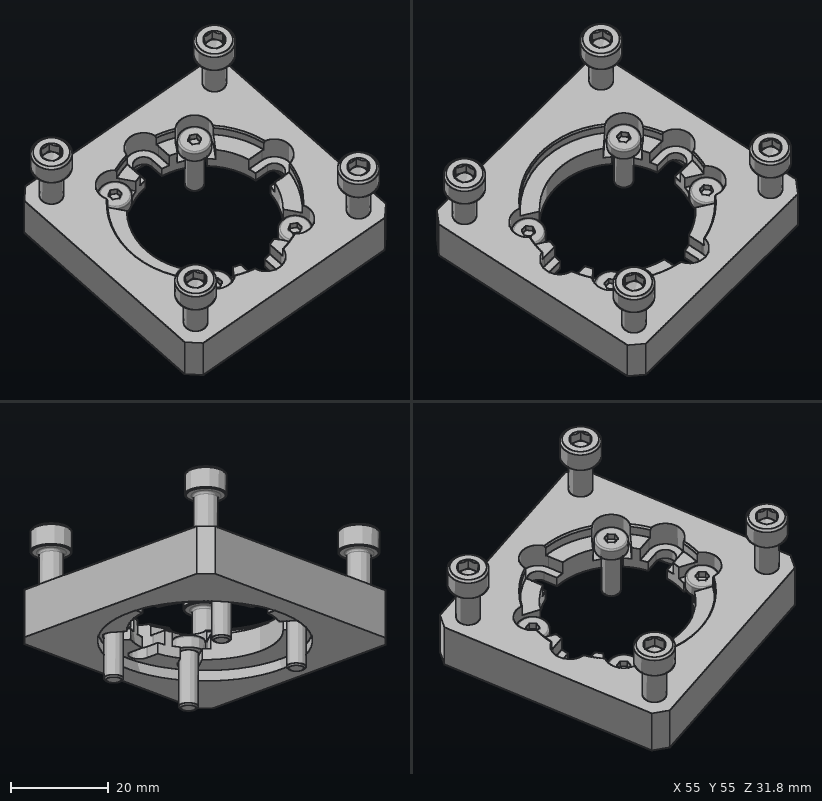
import cadquery as cq
import math

PLATE_SIDE = 55.0
PLATE_HEIGHT = 10.5
CORNER_CHAMFER = 2.7

BORE_DIAMETER = 32.0
POCKET_DIAMETER = 39.9
POCKET_DEPTH = 2.65
POCKET_RIM_WIDTH = 0.3
POCKET_RIM_HEIGHT = 0.5
BOTTOM_RECESS_DIAMETER = 44.0
BOTTOM_RECESS_DEPTH = 2.3

SLOT_CIRCLE_RADIUS = 19.0
SLOT_WIDTH = 4.5
SLOT_SEAT_WIDTH = 7.9
SLOT_SEAT_DEPTH = 5.8
SCREW_ANGLE = 35.0
FILLED_SLOT_ANGLES = [SCREW_ANGLE, 180 - SCREW_ANGLE, 180 + SCREW_ANGLE, 360 - SCREW_ANGLE]
EMPTY_SLOT_ANGLES = [0.0, 90.0, 180.0]

CORNER_SCREW_OFFSET = 22.3
CORNER_SCREW_RISE = 13.95
CORNER_HEAD_DIAMETER = 8.5
CORNER_HEAD_HEIGHT = 5.0
CORNER_HEAD_TOP_CHAMFER = 0.5
CORNER_HEAD_BOTTOM_CHAMFER = 0.2
CORNER_SHANK_DIAMETER = 5.0
CORNER_SHANK_DEPTH_IN_PLATE = 7.0
CORNER_NECK_RADIUS = 0.55
CORNER_HEX_WIDTH = 4.0
CORNER_HEX_DEPTH = 2.5
DRILL_POINT_SLOPE = 30.0

OVERALL_HEIGHT = 31.8
SLOT_HEAD_DIAMETER = 7.0
SLOT_HEAD_HEIGHT = 2.8
SLOT_HEAD_FILLET = 0.4
SLOT_SHANK_DIAMETER = 4.0
SLOT_SHANK_TIP_CHAMFER = 0.4
SLOT_HEX_WIDTH = 2.5
SLOT_HEX_DEPTH = 1.5

HALF_HEX_ANGLE = 30.0

SLOT_SEAT_Z = PLATE_HEIGHT - SLOT_SEAT_DEPTH
CORNER_HEAD_TOP_Z = PLATE_HEIGHT + CORNER_SCREW_RISE
CORNER_HEAD_SEAT_Z = CORNER_HEAD_TOP_Z - CORNER_HEAD_HEIGHT
CORNER_SHANK_TIP_Z = PLATE_HEIGHT - CORNER_SHANK_DEPTH_IN_PLATE
SLOT_SHANK_TIP_Z = CORNER_HEAD_TOP_Z - OVERALL_HEIGHT

CORNER_SCREW_POINTS = [
    (x_side * CORNER_SCREW_OFFSET, y_side * CORNER_SCREW_OFFSET)
    for x_side in (-1, 1)
    for y_side in (-1, 1)
]


def cylinder(diameter, bottom_z, top_z):
    return cq.Workplane("XY").workplane(offset=bottom_z).circle(diameter / 2).extrude(top_z - bottom_z)


def cone(bottom_radius, top_radius, bottom_z, height):
    return cq.Workplane("XY").add(
        cq.Solid.makeCone(bottom_radius, top_radius, height, pnt=cq.Vector(0, 0, bottom_z))
    )


def hex_corner_diameter(width_across_flats):
    return width_across_flats / math.cos(math.radians(HALF_HEX_ANGLE))


def hex_prism(width_across_flats, bottom_z, top_z):
    corners = hex_corner_diameter(width_across_flats)
    return cq.Workplane("XY").workplane(offset=bottom_z).polygon(6, corners).extrude(top_z - bottom_z)


def radial_slot(angle, width, bottom_z):
    """Cutter from the bore axis out to a rounded end centred on the slot circle."""
    height = PLATE_HEIGHT - bottom_z
    base = cq.Workplane("XY").workplane(offset=bottom_z)
    straight = base.center(SLOT_CIRCLE_RADIUS / 2, 0).rect(SLOT_CIRCLE_RADIUS, width).extrude(height)
    rounded_end = base.center(SLOT_CIRCLE_RADIUS, 0).circle(width / 2).extrude(height)
    return straight.union(rounded_end).rotate((0, 0, 0), (0, 0, 1), angle)


def make_plate():
    plate = cq.Workplane("XY").rect(PLATE_SIDE, PLATE_SIDE).extrude(PLATE_HEIGHT)
    plate = plate.edges("|Z").chamfer(CORNER_CHAMFER)

    plate = plate.cut(cylinder(BORE_DIAMETER, 0, PLATE_HEIGHT))
    plate = plate.cut(cylinder(POCKET_DIAMETER, PLATE_HEIGHT - POCKET_DEPTH, PLATE_HEIGHT))
    plate = plate.cut(cylinder(BOTTOM_RECESS_DIAMETER, 0, BOTTOM_RECESS_DEPTH))

    plate = plate.faces(">Z").edges("%CIRCLE").chamfer(POCKET_RIM_WIDTH, POCKET_RIM_HEIGHT)

    for angle in FILLED_SLOT_ANGLES + EMPTY_SLOT_ANGLES:
        plate = plate.cut(radial_slot(angle, SLOT_SEAT_WIDTH, SLOT_SEAT_Z))
        plate = plate.cut(radial_slot(angle, SLOT_WIDTH, 0))

    for x, y in CORNER_SCREW_POINTS:
        hole = cylinder(CORNER_SHANK_DIAMETER, CORNER_SHANK_TIP_Z, PLATE_HEIGHT)
        plate = plate.cut(hole.translate((x, y, 0)))
    return plate


def make_corner_screw(x, y):
    head = cylinder(CORNER_HEAD_DIAMETER, CORNER_HEAD_SEAT_Z, CORNER_HEAD_TOP_Z)
    head = head.faces(">Z").edges().chamfer(CORNER_HEAD_TOP_CHAMFER)
    head = head.faces("<Z").edges().chamfer(CORNER_HEAD_BOTTOM_CHAMFER)
    shank = cylinder(CORNER_SHANK_DIAMETER, CORNER_SHANK_TIP_Z, CORNER_HEAD_SEAT_Z)
    screw = head.union(shank)

    shank_sized = cq.selectors.RadiusNthSelector(0)
    screw = screw.edges("%CIRCLE").edges(shank_sized).edges(">Z").fillet(CORNER_NECK_RADIUS)

    floor_z = CORNER_HEAD_TOP_Z - CORNER_HEX_DEPTH
    socket = hex_prism(CORNER_HEX_WIDTH, floor_z, CORNER_HEAD_TOP_Z)
    screw = screw.cut(socket.rotate((0, 0, 0), (0, 0, 1), HALF_HEX_ANGLE))

    flat_radius = CORNER_HEX_WIDTH / 2
    corner_radius = hex_corner_diameter(CORNER_HEX_WIDTH) / 2
    lead_in_height = corner_radius - flat_radius
    drill_point_height = flat_radius * math.tan(math.radians(DRILL_POINT_SLOPE))
    screw = screw.cut(cone(flat_radius, corner_radius, CORNER_HEAD_TOP_Z - lead_in_height, lead_in_height))
    screw = screw.cut(cone(0, flat_radius, floor_z - drill_point_height, drill_point_height))
    return screw.translate((x, y, 0))


def make_slot_screw(angle):
    head_top_z = SLOT_SEAT_Z + SLOT_HEAD_HEIGHT
    head = cylinder(SLOT_HEAD_DIAMETER, SLOT_SEAT_Z, head_top_z)
    head = head.faces(">Z").edges().fillet(SLOT_HEAD_FILLET)
    shank = cylinder(SLOT_SHANK_DIAMETER, SLOT_SHANK_TIP_Z, SLOT_SEAT_Z)
    shank = shank.faces("<Z").edges().chamfer(SLOT_SHANK_TIP_CHAMFER)
    screw = head.union(shank)
    screw = screw.cut(hex_prism(SLOT_HEX_WIDTH, head_top_z - SLOT_HEX_DEPTH, head_top_z))
    x = SLOT_CIRCLE_RADIUS * math.cos(math.radians(angle))
    y = SLOT_CIRCLE_RADIUS * math.sin(math.radians(angle))
    return screw.translate((x, y, 0))


plate = make_plate()
corner_screws = [make_corner_screw(x, y) for x, y in CORNER_SCREW_POINTS]
slot_screws = [make_slot_screw(angle) for angle in FILLED_SLOT_ANGLES]

result = cq.Compound.makeCompound([plate.val()] + [screw.val() for screw in corner_screws + slot_screws])